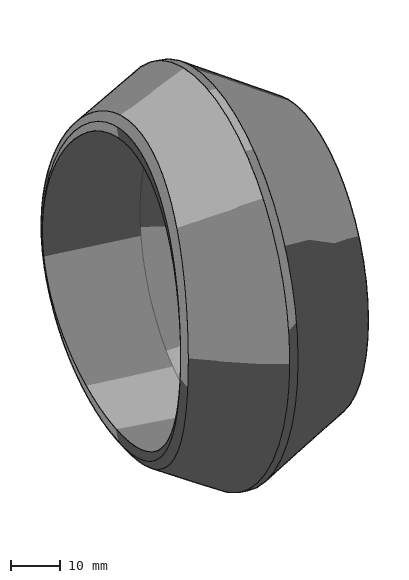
import cadquery as cq
import math

weld_end_y = 20.7
saddle_end_y = -weld_end_y
rim_radius = 44.05
rim_back_y = 0.0
rim_width = 1.85
rim_front_y = rim_back_y - rim_width
weld_end_radius = 33.0
front_cone_slope = 0.505

mouth_radius = 32.7
bore_end_radius = 30.1
bore_cone_start_y = 0.9

saddle_crown_y = -17.6
saddle_depth = saddle_crown_y - saddle_end_y

bevel_inner_x = 32.8
bevel_inner_z = 35.0
bevel_outer_x = 34.9
bevel_outer_z = 36.8
bevel_overrun = 0.5
edge_point_count = 36

saddle_radius = (bevel_inner_x**2 + saddle_depth**2) / (2 * saddle_depth)
saddle_axis_y = saddle_crown_y - saddle_radius
blank_front_y = saddle_end_y - 2.6
cutter_front_y = blank_front_y - 4.4


def front_cone_radius(y):
    return rim_radius - front_cone_slope * (rim_front_y - y)


def make_blank():
    """Double cone with its rim and bore, left long at the saddle end."""
    outline = [
        (mouth_radius, blank_front_y),
        (front_cone_radius(blank_front_y), blank_front_y),
        (rim_radius, rim_front_y),
        (rim_radius, rim_back_y),
        (weld_end_radius, weld_end_y),
        (bore_end_radius, weld_end_y),
        (mouth_radius, bore_cone_start_y),
    ]
    return cq.Workplane("XY").polyline(outline).close().revolve(360, (0, 0, 0), (0, 1, 0))


def make_saddle_cutter():
    return (
        cq.Workplane("XY")
        .center(0, saddle_axis_y)
        .circle(saddle_radius)
        .extrude(rim_radius, both=True)
    )


def bevel_edge_points(angle):
    """Points on the bevel's inner edge (on the saddle) and outer edge (on the front cone)."""
    inner_x = bevel_inner_x * math.cos(angle)
    inner_z = bevel_inner_z * math.sin(angle)
    inner_y = saddle_axis_y + math.sqrt(saddle_radius**2 - inner_x**2)
    outer_x = bevel_outer_x * math.cos(angle)
    outer_z = bevel_outer_z * math.sin(angle)
    outer_y = rim_front_y - (rim_radius - math.hypot(outer_x, outer_z)) / front_cone_slope
    return cq.Vector(inner_x, inner_y, inner_z), cq.Vector(outer_x, outer_y, outer_z)


def closed_curve(points):
    return cq.Wire.assembleEdges([cq.Edge.makeSpline(points, periodic=True)])


def make_bevel_cutter():
    """Ring in front of the bevel surface, which is ruled between its two edges."""
    near_points = []
    far_points = []
    for i in range(edge_point_count):
        inner, outer = bevel_edge_points(2 * math.pi * i / edge_point_count)
        overrun = (outer - inner) * bevel_overrun
        near_points.append(inner - overrun)
        far_points.append(outer + overrun)

    near_edge = closed_curve(near_points)
    far_edge = closed_curve(far_points)
    near_front = closed_curve([cq.Vector(p.x, cutter_front_y, p.z) for p in near_points])
    far_front = closed_curve([cq.Vector(p.x, cutter_front_y, p.z) for p in far_points])
    faces = [
        cq.Face.makeRuledSurface(near_edge, far_edge),
        cq.Face.makeRuledSurface(far_edge, far_front),
        cq.Face.makeRuledSurface(near_edge, near_front),
        cq.Face.makeFromWires(far_front, [near_front]),
    ]
    return cq.Workplane(obj=cq.Solid.makeSolid(cq.Shell.makeShell(faces)).fix())


result = make_blank().cut(make_bevel_cutter()).cut(make_saddle_cutter())